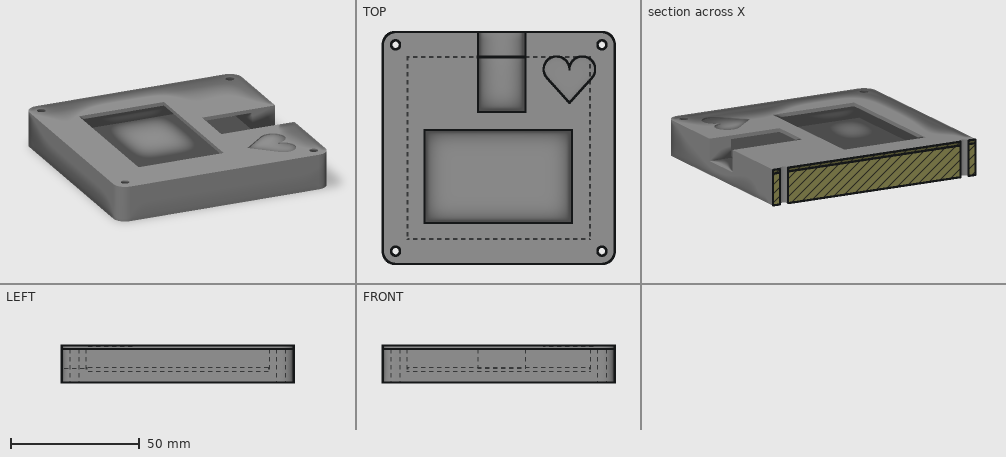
import cadquery as cq
import math

case_size = 90.0
corner_radius = 5.0
total_height = 14.5
lid_thickness = 1.5
base_height = total_height - lid_thickness

screw_diameter = 3.4
screw_spacing = 80.0

cavity_size = 71.0
cavity_floor = 4.3
board_clearance = 0.4
board_size = cavity_size - 2 * board_clearance
board_thickness = 1.6

notch_width = 18.4
notch_center_x = 1.15
notch_floor = 5.5
notch_end_y = 14.0
notch_length = case_size / 2 - notch_end_y

window_width = 57.0
window_length = 36.1
window_center_x = -0.2
window_center_y = -11.05

heart_center_x = 27.4
heart_notch_y = 30.5
heart_tip_y = 17.5
heart_lobe_radius = 5.0
heart_depth = 0.5


def rounded_plate(height, bottom_z):
    """Square plate with the case outline and the four corner screw holes."""
    return (
        cq.Workplane("XY", origin=(0, 0, bottom_z))
        .rect(case_size, case_size)
        .extrude(height)
        .edges("|Z")
        .fillet(corner_radius)
        .faces(">Z")
        .workplane(origin=(0, 0, bottom_z + height))
        .rect(screw_spacing, screw_spacing, forConstruction=True)
        .vertices()
        .hole(screw_diameter)
    )


def block(width, length, height, center_x, center_y, bottom_z):
    """Box centred on a point in plan, standing on a given height."""
    return cq.Workplane("XY", origin=(center_x, center_y, bottom_z)).box(
        width, length, height, centered=(True, True, False)
    )


def notch_cutter():
    """Connector opening, from the notch floor up through the lid."""
    center_y = case_size / 2 - notch_length / 2
    height = total_height - notch_floor
    return block(notch_width, notch_length, height, notch_center_x, center_y, notch_floor)


def heart_cutter():
    """Two lobe arcs that run tangentially into straight sides meeting at the tip."""
    drop = heart_notch_y - heart_tip_y
    center_distance = math.hypot(heart_lobe_radius, drop)
    tangent_length = math.sqrt(center_distance**2 - heart_lobe_radius**2)
    side_angle = math.atan2(drop, heart_lobe_radius) - math.asin(heart_lobe_radius / center_distance)
    side_x = tangent_length * math.cos(side_angle)
    side_y = tangent_length * math.sin(side_angle) - drop
    lobe_top_x = heart_lobe_radius
    lobe_top_y = heart_lobe_radius
    return (
        cq.Workplane("XY", origin=(heart_center_x, heart_notch_y, total_height - heart_depth))
        .moveTo(0, -drop)
        .lineTo(side_x, side_y)
        .threePointArc((lobe_top_x, lobe_top_y), (0, 0))
        .threePointArc((-lobe_top_x, lobe_top_y), (-side_x, side_y))
        .close()
        .extrude(heart_depth)
    )


def make_base():
    cavity = block(cavity_size, cavity_size, base_height - cavity_floor, 0, 0, cavity_floor)
    return rounded_plate(base_height, 0).cut(cavity).cut(notch_cutter())


def make_board():
    return block(board_size, board_size, board_thickness, 0, 0, cavity_floor)


def make_lid():
    window = block(window_width, window_length, lid_thickness, window_center_x, window_center_y, base_height)
    lid = rounded_plate(lid_thickness, base_height)
    return lid.cut(window).cut(notch_cutter()).cut(heart_cutter())


base = make_base()
board = make_board()
lid = make_lid()

result = cq.Compound.makeCompound([base.val(), board.val(), lid.val()])